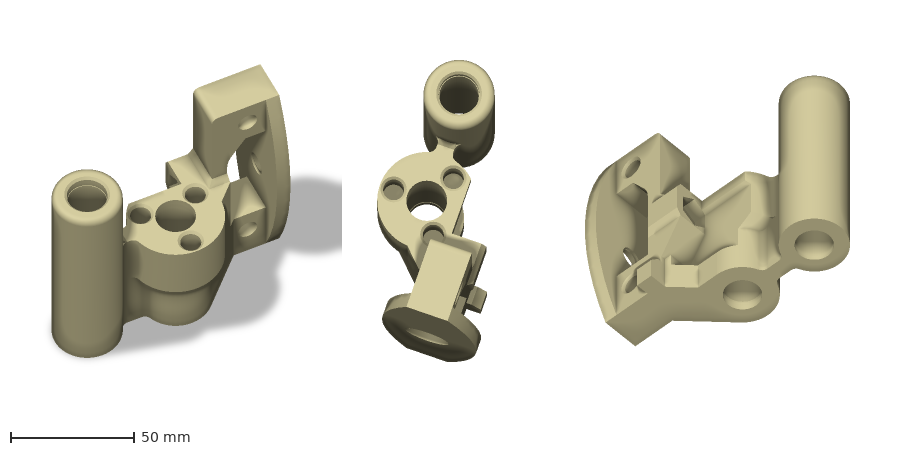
import cadquery as cq
import math


TUBE_D = 29.0
TUBE_H = 88.5
TUBE_EDGE_R = 2.8
TUBE_MOUTH_D = 18.6
TUBE_LIP_DEPTH = 4.4

BORE_D = 16.6
THROAT_D = 16.0
HUB_THROAT_H = 4.6

HUB_Y = 39.9
HUB_H = 52.6
HUB_R = 20.2
FOOT_R = 15.2
FOOT_H = 23.5
FLARE_TOP = 28.3
WEB_CORNER_Y = 50.4
NECK_HALF_W = 3.6
NECK_FILLET_R = 3.2
NECK_MIDDLE_Y = 16.9
NECK_GUSSET = 3.7

SCREW_D = 8.5
SCREW_MOUTH_D = 10.7
SCREW_CIRCLE_R = 14.2
HUB_SCREW_COUNT = 3
HUB_SCREW_DEPTH = 12.7

POCKET_FLOOR = 13.5
POCKET_TOP = 45.4
POCKET_X = -12.2
POCKET_BACK_Y = 58.2
HUB_FLAT_X = -14.0

ARM_LEFT = -26.8
ARM_W = 17.7
ARM_RIGHT = ARM_LEFT + ARM_W
ARM_X = ARM_LEFT + ARM_W / 2
ARM_FRONT_Y = 60.7
ARM_REAR_Y = 67.5
ARM_FOOT_Y = 59.9
ARM_EDGE_R = 2.8
ARM_CHAMFER = 2.5
WINDOW_TOP = 73.4
WINDOW_SLOPE_Y = 75.7
WINDOW_SLOPE_Z = 62.5
WINDOW_FILLET_R = 10.5
ARM_SCREW_Y = 76.8
ARM_SCREW_HEIGHTS = (13.5, 83.3)

TOTAL_H = 93.6
TOTAL_LENGTH = 105.5
PLATE_FRONT_Y = 84.9
PLATE_BACK_Y = TOTAL_LENGTH - TUBE_D / 2
PLATE_LEFT = -39.1
PLATE_RIGHT = 1.5

NUT_BLOCK_Y = 49.3
NUT_BLOCK_BOTTOM = 33.7
BRACE_BOTTOM = 16.8
PAD_T = 2.1
PAD_BEVEL_Z = 3.1
NUT_X = -18.7
NUT_Z = 42.0
NUT_FLATS = 13.7
NUT_DEPTH = 6.1
ADJUST_D = 9.7
ADJUST_BORE_END_Y = 85.9
ADJUST_TIP_D = 8.2
REAR_RECESS_D = 18.6
REAR_RECESS_DEPTH = 3.2

TAB_LEFT = -32.9
TAB_REAR_Y = 67.7
TAB_H = POCKET_FLOOR
TAB_CHAMFER = 3.9
TAB_TOP_W = 2.1


def box(x0, x1, y0, y1, z0, z1):
    """Box between two opposite corners."""
    return cq.Workplane("XY").box(x1 - x0, y1 - y0, z1 - z0, centered=False).translate((x0, y0, z0))


def disc(diameter, x, y, z0, z1):
    """Upright cylinder."""
    return cq.Workplane("XY", origin=(x, y, z0)).circle(diameter / 2).extrude(z1 - z0)


def rod_y(diameter, x, z, y0, y1):
    """Cylinder lying along Y."""
    return cq.Workplane("XZ", origin=(x, y0, z)).circle(diameter / 2).extrude(y0 - y1)


def neck_drop(radius):
    """Distance from a circle's centre to where its fillets meet the straight neck sides."""
    return math.sqrt((radius + NECK_FILLET_R) ** 2 - (NECK_HALF_W + NECK_FILLET_R) ** 2)


def circle_with_neck(radius, center_y, direction):
    """Prism of hub height: a circle joined by two fillets to half of the neck.

    The neck leaves the circle towards +Y when direction is 1 and towards -Y when it is -1.
    """
    fillet_x = NECK_HALF_W + NECK_FILLET_R
    drop = neck_drop(radius)
    share = radius / (radius + NECK_FILLET_R)
    half_turn = math.atan2(drop, fillet_x) / 2
    touch_x = fillet_x * share
    touch_y = center_y + direction * drop * share
    middle_x = fillet_x - NECK_FILLET_R * math.cos(half_turn)
    middle_y = center_y + direction * (drop - NECK_FILLET_R * math.sin(half_turn))
    neck_y = center_y + direction * drop
    return (
        cq.Workplane("XY")
        .moveTo(-NECK_HALF_W, NECK_MIDDLE_Y)
        .lineTo(NECK_HALF_W, NECK_MIDDLE_Y)
        .lineTo(NECK_HALF_W, neck_y)
        .threePointArc((middle_x, middle_y), (touch_x, touch_y))
        .threePointArc((0, center_y - direction * radius), (-touch_x, touch_y))
        .threePointArc((-middle_x, middle_y), (-NECK_HALF_W, neck_y))
        .close()
        .extrude(HUB_H)
    )


def make_hub():
    foot = circle_with_neck(FOOT_R, HUB_Y, -1)
    flare = (
        cq.Workplane("XY", origin=(0, HUB_Y, FOOT_H))
        .circle(FOOT_R)
        .workplane(offset=FLARE_TOP - FOOT_H)
        .circle(HUB_R)
        .loft()
    )
    below_head = box(-HUB_R, HUB_R, 0, HUB_Y + HUB_R, 0, FLARE_TOP)
    head = circle_with_neck(HUB_R, HUB_Y, -1).cut(below_head)

    tangent = FOOT_R / math.sqrt(2)
    web_rear_y = HUB_Y + 2 * tangent - ARM_RIGHT
    web = (
        cq.Workplane("XY")
        .moveTo(0, HUB_Y)
        .lineTo(tangent, HUB_Y + tangent)
        .lineTo(ARM_RIGHT, web_rear_y)
        .lineTo(ARM_LEFT, web_rear_y)
        .lineTo(ARM_LEFT, ARM_FOOT_Y)
        .lineTo(-FOOT_R - (ARM_FOOT_Y - WEB_CORNER_Y), ARM_FOOT_Y)
        .lineTo(-FOOT_R, WEB_CORNER_Y)
        .lineTo(-FOOT_R, HUB_Y)
        .close()
        .extrude(HUB_H)
    )
    above_foot = box(ARM_LEFT, HUB_R, ARM_REAR_Y, PLATE_BACK_Y, FOOT_H, HUB_H)
    return foot.union(flare).union(head).union(web.cut(above_foot)).cut(make_pocket())


def make_pocket():
    """Recess in the left side of the hub, with a bevelled upper edge."""
    bevel = POCKET_X - HUB_FLAT_X
    return (
        cq.Workplane("XZ")
        .moveTo(POCKET_X, POCKET_FLOOR)
        .lineTo(POCKET_X, POCKET_TOP)
        .lineTo(HUB_FLAT_X, POCKET_TOP + bevel)
        .lineTo(HUB_FLAT_X, HUB_H)
        .lineTo(ARM_LEFT, HUB_H)
        .lineTo(ARM_LEFT, POCKET_FLOOR)
        .close()
        .extrude(-POCKET_BACK_Y)
    )


def make_tube():
    tube = disc(TUBE_D, 0, 0, 0, TUBE_H).faces(">Z").edges().fillet(TUBE_EDGE_R)
    gusset_y = neck_drop(TUBE_D / 2)
    gusset = (
        cq.Workplane("YZ")
        .polyline([
            (gusset_y, HUB_H), (gusset_y - NECK_GUSSET, HUB_H),
            (gusset_y - NECK_GUSSET, HUB_H + NECK_GUSSET),
        ])
        .close()
        .extrude(NECK_HALF_W, both=True)
    )
    return tube.union(circle_with_neck(TUBE_D / 2, 0, 1)).union(gusset)


def make_arm():
    body = (
        cq.Workplane("YZ", origin=(ARM_LEFT, 0, 0))
        .polyline([
            (PLATE_BACK_Y, 0), (ARM_FOOT_Y, 0), (ARM_FOOT_Y, BRACE_BOTTOM),
            (NUT_BLOCK_Y, NUT_BLOCK_BOTTOM), (NUT_BLOCK_Y, HUB_H), (ARM_FRONT_Y, HUB_H),
            (ARM_FRONT_Y, TOTAL_H), (PLATE_BACK_Y, TOTAL_H),
        ])
        .close()
        .extrude(ARM_W)
        .edges("|X")
        .edges(cq.selectors.NearestToPointSelector((ARM_X, ARM_FRONT_Y, TOTAL_H)))
        .fillet(ARM_EDGE_R)
    )
    body = body.cut(box(POCKET_X, ARM_RIGHT, NUT_BLOCK_Y, POCKET_BACK_Y, 0, HUB_H))
    window = (
        cq.Workplane("YZ", origin=(ARM_LEFT, 0, 0))
        .polyline([
            (PLATE_FRONT_Y, FOOT_H), (ARM_REAR_Y, FOOT_H), (ARM_REAR_Y, WINDOW_SLOPE_Z),
            (WINDOW_SLOPE_Y, WINDOW_TOP), (PLATE_FRONT_Y, WINDOW_TOP),
        ])
        .close()
        .extrude(ARM_W)
        .edges(cq.selectors.NearestToPointSelector((ARM_X, ARM_REAR_Y, WINDOW_SLOPE_Z)))
        .fillet(WINDOW_FILLET_R)
    )
    depth = ARM_REAR_Y - ARM_FRONT_Y
    root = (
        cq.Workplane("XY", origin=(ARM_LEFT, ARM_REAR_Y, HUB_H))
        .polyline(rectangle_points(ARM_W + ARM_CHAMFER, -depth - ARM_CHAMFER))
        .close()
        .workplane(offset=ARM_CHAMFER)
        .polyline(rectangle_points(ARM_W, -depth))
        .close()
        .loft(ruled=True)
    )
    return body.cut(window).union(root)


def rectangle_points(width, depth):
    """Corners of a rectangle with one corner at the origin."""
    return [(0, 0), (width, 0), (width, depth), (0, depth)]


def make_plate():
    return (
        cq.Workplane("XZ", origin=(0, PLATE_BACK_Y, 0))
        .moveTo(ARM_LEFT, 0)
        .lineTo(ARM_RIGHT, 0)
        .threePointArc((PLATE_RIGHT, TOTAL_H / 2), (ARM_RIGHT, TOTAL_H))
        .lineTo(ARM_LEFT, TOTAL_H)
        .threePointArc((PLATE_LEFT, TOTAL_H / 2), (ARM_LEFT, 0))
        .close()
        .extrude(PLATE_BACK_Y - PLATE_FRONT_Y)
    )


def make_pad():
    """Bevelled pad on the left side of the nut block."""
    outline = [
        (NUT_BLOCK_Y, NUT_BLOCK_BOTTOM), (ARM_REAR_Y, NUT_BLOCK_BOTTOM),
        (ARM_REAR_Y, HUB_H), (NUT_BLOCK_Y, HUB_H),
    ]
    rear = ARM_REAR_Y - PAD_T
    low = NUT_BLOCK_BOTTOM + PAD_BEVEL_Z
    high = HUB_H - PAD_BEVEL_Z
    return (
        cq.Workplane("YZ", origin=(ARM_LEFT, 0, 0))
        .polyline(outline)
        .close()
        .workplane(offset=-PAD_T)
        .polyline([(NUT_BLOCK_Y, low), (rear, low), (rear, high), (NUT_BLOCK_Y, high)])
        .close()
        .loft(ruled=True)
    )


def make_tab():
    chamfer_x = ARM_LEFT - TAB_TOP_W
    return (
        cq.Workplane("XZ", origin=(0, TAB_REAR_Y, 0))
        .polyline([
            (ARM_LEFT, 0), (TAB_LEFT, 0), (TAB_LEFT, TAB_H - TAB_CHAMFER),
            (chamfer_x, TAB_H), (ARM_LEFT, TAB_H),
        ])
        .close()
        .extrude(TAB_REAR_Y - ARM_FOOT_Y)
    )


def cut_bores(part):
    """Bores of the tube and the hub."""
    lip = TUBE_H - TUBE_LIP_DEPTH
    mouth_bevel = (TUBE_MOUTH_D - BORE_D) / 2
    mouth = (
        cq.Workplane("XY", origin=(0, 0, TUBE_H))
        .circle(TUBE_MOUTH_D / 2)
        .workplane(offset=-mouth_bevel)
        .circle(BORE_D / 2)
        .loft()
    )
    part = part.cut(disc(THROAT_D, 0, 0, 0, lip)).cut(disc(BORE_D, 0, 0, lip, TUBE_H)).cut(mouth)
    part = part.cut(disc(THROAT_D, 0, HUB_Y, 0, HUB_THROAT_H))
    return part.cut(disc(BORE_D, 0, HUB_Y, HUB_THROAT_H, HUB_H))


def screw_cutter(depth):
    """Screw hole with a bevelled mouth, running down from the origin along -Z."""
    bevel = (SCREW_MOUTH_D - SCREW_D) / 2
    mouth = (
        cq.Workplane("XY")
        .circle(SCREW_MOUTH_D / 2)
        .workplane(offset=-bevel)
        .circle(SCREW_D / 2)
        .loft()
    )
    return disc(SCREW_D, 0, 0, -depth, 0).union(mouth)


def cut_screw_holes(part):
    hub_screw = screw_cutter(HUB_SCREW_DEPTH)
    for i in range(HUB_SCREW_COUNT):
        angle = 2 * math.pi * i / HUB_SCREW_COUNT
        x = SCREW_CIRCLE_R * math.cos(angle)
        y = HUB_Y + SCREW_CIRCLE_R * math.sin(angle)
        part = part.cut(hub_screw.translate((x, y, HUB_H)))
    arm_screw = screw_cutter(ARM_W).rotate((0, 0, 0), (0, 1, 0), -90)
    for z in ARM_SCREW_HEIGHTS:
        part = part.cut(arm_screw.translate((ARM_LEFT, ARM_SCREW_Y, z)))
    return part


def cut_adjuster(part):
    """Hexagonal nut seat, the stepped hole behind it and the recess in the plate's rear face."""
    corner_d = NUT_FLATS / math.cos(math.pi / 6)
    nut = (
        cq.Workplane("XZ")
        .polygon(6, corner_d)
        .extrude(-NUT_DEPTH)
        .rotate((0, 0, 0), (0, 1, 0), 30)
        .translate((NUT_X, NUT_BLOCK_Y, NUT_Z))
    )
    bore = rod_y(ADJUST_D, ARM_X, NUT_Z, NUT_BLOCK_Y, ADJUST_BORE_END_Y)
    tip = rod_y(ADJUST_TIP_D, NUT_X, NUT_Z, ADJUST_BORE_END_Y, PLATE_BACK_Y)
    recess = rod_y(REAR_RECESS_D, ARM_X, NUT_Z, PLATE_BACK_Y - REAR_RECESS_DEPTH, PLATE_BACK_Y)
    return part.cut(nut).cut(bore).cut(tip).cut(recess)


solid = make_hub().union(make_tube()).union(make_arm()).union(make_plate())
solid = solid.union(make_pad()).union(make_tab())
result = cut_adjuster(cut_screw_holes(cut_bores(solid)))